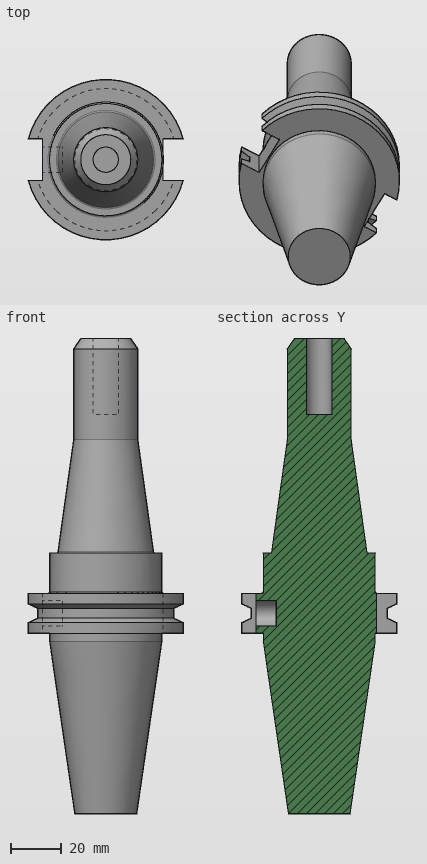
import cadquery as cq

gauge_diameter = 44.45
taper_length = 68.25
taper_ratio = 7 / 24

flange_diameter = 63.5
flange_bottom_z = 3.18
flange_top_z = 19.05
groove_center_z = 11.13
groove_floor_diameter = 56.36
groove_floor_width = 3.9
groove_mouth_width = 7.4

collar_top_z = 35.0
collar_fillet = 0.6
neck_base_diameter = 38.0
neck_top_z = 80.0
neck_fillet = 0.6
nose_diameter = 25.4
nose_top_z = 119.89
nose_face_diameter = 19.8
nose_chamfer_height = 4.1

slot_width = 16.38
deep_slot_floor_x = 22.7
shallow_slot_floor_x = 25.1

nose_hole_diameter = 10.0
nose_hole_depth = 30.0
slot_hole_diameter = 10.0
slot_hole_depth = 8.0


def turned_body():
    """Revolve the half profile of the holder about the Z axis."""
    tail_radius = (gauge_diameter - taper_length * taper_ratio) / 2
    collar_radius = gauge_diameter / 2
    flange_radius = flange_diameter / 2
    floor_radius = groove_floor_diameter / 2
    neck_radius = neck_base_diameter / 2
    nose_radius = nose_diameter / 2
    profile = [
        (0, -taper_length),
        (tail_radius, -taper_length),
        (collar_radius, 0),
        (collar_radius, flange_bottom_z),
        (flange_radius, flange_bottom_z),
        (flange_radius, groove_center_z - groove_mouth_width / 2),
        (floor_radius, groove_center_z - groove_floor_width / 2),
        (floor_radius, groove_center_z + groove_floor_width / 2),
        (flange_radius, groove_center_z + groove_mouth_width / 2),
        (flange_radius, flange_top_z),
        (collar_radius, flange_top_z),
        (collar_radius, collar_top_z),
        (neck_radius, collar_top_z),
        (nose_radius, neck_top_z),
        (nose_radius, nose_top_z - nose_chamfer_height),
        (nose_face_diameter / 2, nose_top_z),
        (0, nose_top_z),
    ]
    return cq.Workplane("XZ").polyline(profile).close().revolve(360, (0, 0, 0), (0, 1, 0))


def corner_ring(radius, z):
    """Selector for the circular edge of the given radius at height z."""
    margin = 0.1
    reach = radius + margin
    return cq.selectors.BoxSelector(
        (-reach, -reach, z - margin), (reach, reach, z + margin), boundingbox=True
    )


def fillet_inner_corner(body, radius, z, fillet_radius):
    """Round the concave corner where a shoulder meets a smaller diameter."""
    return body.edges(corner_ring(radius, z)).fillet(fillet_radius)


def drive_slot(floor_x, side):
    """Cutter for a slot through the flange; side is +1 for +X and -1 for -X."""
    radial_length = flange_diameter / 2
    slot_height = flange_top_z - flange_bottom_z
    return (
        cq.Workplane("XY", origin=(side * (floor_x + radial_length / 2), 0, flange_bottom_z))
        .rect(radial_length, slot_width)
        .extrude(slot_height)
    )


def nose_hole():
    """Cutter for the flat-bottomed hole in the end of the nose."""
    return (
        cq.Workplane("XY", origin=(0, 0, nose_top_z))
        .circle(nose_hole_diameter / 2)
        .extrude(-nose_hole_depth)
    )


def slot_hole():
    """Cutter for the flat-bottomed hole in the floor of the -X slot."""
    return (
        cq.Workplane("YZ", origin=(-shallow_slot_floor_x, 0, groove_center_z))
        .circle(slot_hole_diameter / 2)
        .extrude(slot_hole_depth)
    )


holder = turned_body()
holder = fillet_inner_corner(holder, gauge_diameter / 2, flange_top_z, collar_fillet)
holder = fillet_inner_corner(holder, neck_base_diameter / 2, collar_top_z, neck_fillet)
holder = holder.cut(drive_slot(shallow_slot_floor_x, -1))
holder = holder.cut(drive_slot(deep_slot_floor_x, 1))
holder = holder.cut(nose_hole())
result = holder.cut(slot_hole())